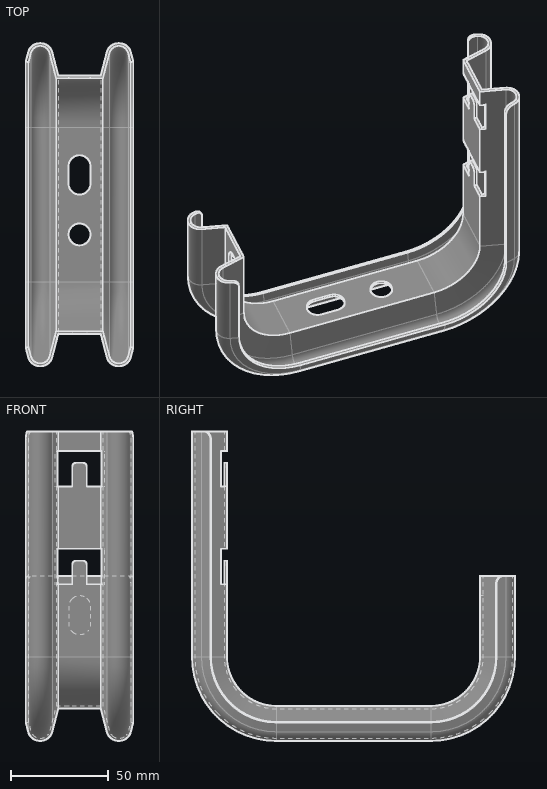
import cadquery as cq
import math

LENGTH = 165.0
WIDTH = 55.0
LONG_ARM_HEIGHT = 158.0
SHORT_ARM_HEIGHT = 84.3

SHEET = 1.5
DEPTH = 18.0
BEAD_SPACING = 40.1
BEAD_RADIUS = 6.5
WALL_LEAN = math.radians(14.5)
LIP_CORNER_RADIUS = 4.0

BEND_INNER_RADIUS = 25.0
BEND_OUTER_RADIUS = BEND_INNER_RADIUS + DEPTH

HOLE_DIAMETER = 11.0
SLOT_LENGTH = 20.0
BASE_HOLE_OFFSET = 15.2
ARM_SLOT_DROP = 20.0

WINDOW_COUNT = 2
WINDOW_WIDTH = 26.4
WINDOW_HEIGHT = 18.0
WINDOW_DEPTH = 3.0
WINDOW_TOP_MARGIN = 10.0
WINDOW_PITCH = 50.0
TAB_WIDTH = 7.5
TAB_HEIGHT = 12.0
TAB_CORNER_RADIUS = 2.0

HALF_LENGTH = LENGTH / 2


def face_points(inset):
    """Points of one sheet face for X > 0, as (x, depth), from the web corner to the lip edge.

    inset is the distance of the face from the outer face of the sheet.
    """
    centre = BEAD_SPACING / 2
    radius = BEAD_RADIUS - inset
    reach = radius * math.cos(WALL_LEAN)
    tangent_depth = BEAD_RADIUS - radius * math.sin(WALL_LEAN)
    web_depth = DEPTH - SHEET + inset
    web_corner = centre - reach - (web_depth - tangent_depth) * math.tan(WALL_LEAN)

    lip_run = WIDTH / 2 - centre - BEAD_RADIUS * math.cos(WALL_LEAN)
    lip_rise = lip_run / math.tan(WALL_LEAN)
    return [
        (web_corner, web_depth),
        (centre - reach, tangent_depth),
        (centre, BEAD_RADIUS - radius),
        (centre + reach, tangent_depth),
        (centre + reach + lip_run, tangent_depth + lip_rise),
    ]


OUTER_FACE = face_points(0)
INNER_FACE = face_points(SHEET)


def half_section():
    """Section of the right half of the channel, at the top of the long arm."""
    corner_out, wall_out, crown_out, bead_end_out, lip_out = OUTER_FACE
    corner_in, wall_in, crown_in, bead_end_in, lip_in = INNER_FACE
    return (
        cq.Workplane("XY", origin=(0, -HALF_LENGTH, LONG_ARM_HEIGHT))
        .moveTo(0, DEPTH - SHEET)
        .lineTo(*corner_out)
        .lineTo(*wall_out)
        .threePointArc(crown_out, bead_end_out)
        .lineTo(*lip_out)
        .lineTo(*lip_in)
        .lineTo(*bead_end_in)
        .threePointArc(crown_in, wall_in)
        .lineTo(*corner_in)
        .lineTo(0, DEPTH)
        .close()
    )


def crown_path():
    """Path of the crown: down the long arm, along the base and up the short arm."""
    bend = BEND_OUTER_RADIUS
    return (
        cq.Workplane("YZ")
        .moveTo(-HALF_LENGTH, LONG_ARM_HEIGHT)
        .lineTo(-HALF_LENGTH, bend)
        .radiusArc((bend - HALF_LENGTH, 0), -bend)
        .lineTo(HALF_LENGTH - bend, 0)
        .radiusArc((HALF_LENGTH, bend), -bend)
        .lineTo(HALF_LENGTH, SHORT_ARM_HEIGHT)
    )


def round_lip_corners(half):
    """Round the free corner of the lip at the top of each arm."""
    lip_x = (OUTER_FACE[-1][0] + INNER_FACE[-1][0]) / 2
    lip_depth = (OUTER_FACE[-1][1] + INNER_FACE[-1][1]) / 2
    for y, z in (
        (lip_depth - HALF_LENGTH, LONG_ARM_HEIGHT),
        (HALF_LENGTH - lip_depth, SHORT_ARM_HEIGHT),
    ):
        half = half.edges(cq.NearestToPointSelector((lip_x, y, z))).fillet(LIP_CORNER_RADIUS)
    return half


def channel():
    """The bent channel, symmetric about the YZ plane."""
    half = round_lip_corners(half_section().sweep(crown_path()))
    return half.union(half.mirror("YZ"))


def base_holes():
    """Slot and round hole through the web of the base."""
    web = cq.Workplane("XY")
    slot = web.center(0, BASE_HOLE_OFFSET).slot2D(SLOT_LENGTH, HOLE_DIAMETER, 90).extrude(DEPTH)
    hole = web.center(0, -BASE_HOLE_OFFSET).circle(HOLE_DIAMETER / 2).extrude(DEPTH)
    return slot.union(hole)


def short_arm_slot():
    """Upright slot through the web of the short arm."""
    web = cq.Workplane("XZ", origin=(0, HALF_LENGTH, SHORT_ARM_HEIGHT - ARM_SLOT_DROP))
    return web.slot2D(SLOT_LENGTH, HOLE_DIAMETER, 90).extrude(DEPTH)


def window(top):
    """Window cut through the web and wall roots of the long arm, around a standing tab."""
    bottom = top - WINDOW_HEIGHT
    web_y = DEPTH - HALF_LENGTH
    opening = cq.Workplane("XY").box(
        WINDOW_WIDTH, WINDOW_DEPTH, WINDOW_HEIGHT, centered=(True, False, False)
    )
    tab = (
        cq.Workplane("XY")
        .box(TAB_WIDTH, WINDOW_DEPTH, TAB_HEIGHT, centered=(True, False, False))
        .edges(">Z and |Y")
        .fillet(TAB_CORNER_RADIUS)
    )
    return opening.cut(tab).translate((0, web_y - WINDOW_DEPTH, bottom))


result = channel().cut(base_holes()).cut(short_arm_slot())
for index in range(WINDOW_COUNT):
    result = result.cut(window(LONG_ARM_HEIGHT - WINDOW_TOP_MARGIN - index * WINDOW_PITCH))